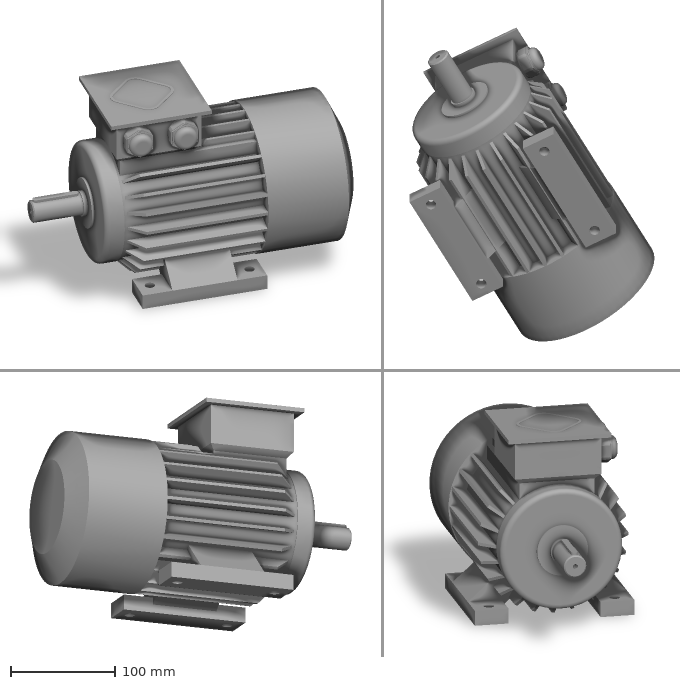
import cadquery as cq
import math


OVERALL_LENGTH = 310.0
SHOULDER_FRONT = 49.5
BOSS_FRONT = 53.5
FLANGE_FRONT = 56.0
FLANGE_BACK = 75.3
FIN_FRONT = 78.5
COWL_FRONT = 215.0
COWL_CONE_START = 296.0

BODY_RADIUS = 118.0 / 2
FLANGE_RADIUS = 120.0 / 2
FLANGE_FILLET = 5.0
BOSS_RADIUS = 50.0 / 2
COWL_RADIUS = 149.0 / 2
COWL_END_RADIUS = 45.5

SHOULDER_RADIUS = 25.0 / 2
SHAFT_RADIUS = 22.0 / 2
SHAFT_CHAMFER = 1.2
KEY_WIDTH = 6.2
KEY_TOP = 13.3
KEY_FRONT = 2.0
KEY_BACK = 48.0
CENTRE_HOLE_RADIUS = 5.0 / 2
CENTRE_HOLE_DEPTH = 3.7

FIN_RADIUS = 73.8
FIN_THICKNESS = 3.0
FIN_STEP = 15
FIRST_FIN_ANGLE = 135
LAST_FIN_ANGLE = 405
TOP_RIB_COUNT = 5
TOP_RIB_PITCH = 15.0
TOP_RIB_FRONT = 162.8
TOP_RIB_BEVEL_LENGTH = 4.3
TOP_RIB_BEVEL_DROP = 5.3

SADDLE_WIDTH = 73.8
SADDLE_TOP = 59.8
BOX_CENTRE_Y = 115.3
BOX_SIDE = 85.2
NECK_LENGTH = 75.0
NECK_TOP = 62.5
BOX_BOTTOM = 68.2
LID_SIDE = 101.0
LID_BOTTOM = 106.3
LID_TOP = 110.5

FRAME_CENTRE_Y = 112.0
FRAME_HALF_DIAGONAL = 36.5
FRAME_CORNER_RADIUS = 11.8
FRAME_WIDTH = 2.8
FRAME_HEIGHT = 0.5

GLAND_SPACING = 45.0
GLAND_Z = 88.0
GLAND_COLLAR_DIAMETER = 28.0
GLAND_COLLAR_LENGTH = 1.5
NUT_DIAMETER = 29.5
NUT_ACROSS_FLATS = 27.0
NUT_LENGTH = 8.5
NUT_RIM_LENGTH = 1.5
GLAND_RING_DIAMETER = 25.0
GLAND_RING_LENGTH = 1.0
GLAND_CAP_DIAMETER = 23.2
GLAND_CAP_LENGTH = 6.5
GLAND_CAP_FILLET = 5.0

FOOT_OUTER_X = 78.5
FOOT_WIDTH = 33.2
FOOT_BOTTOM = -80.0
FOOT_HEIGHT = 15.0
FOOT_LENGTH = 125.2
FOOT_CENTRE_Y = 150.0
LEG_LENGTH = 65.5
LEG_ANGLE = 41.5
LEG_INNER_DROP = 6.8
FOOT_HOLE_DIAMETER = 10.0
FOOT_HOLE_SPACING = 100.0


def block_between(x_range, y_range, z_range):
    """Rectangular block given by its limits along each axis."""
    limits = (x_range, y_range, z_range)
    sizes = [high - low for low, high in limits]
    corner = cq.Vector(*[low for low, high in limits])
    return cq.Workplane(cq.Solid.makeBox(*sizes, pnt=corner))


def disc(radius, front, back):
    """Solid cylinder on the shaft axis between two stations."""
    return cq.Workplane("XZ", origin=(0, front, 0)).circle(radius).extrude(front - back)


def make_body():
    flange = disc(FLANGE_RADIUS, FLANGE_FRONT, FLANGE_BACK).faces("<Y").edges().fillet(FLANGE_FILLET)
    cowl = (
        cq.Workplane("XY")
        .moveTo(0, COWL_FRONT)
        .lineTo(COWL_RADIUS, COWL_FRONT)
        .lineTo(COWL_RADIUS, COWL_CONE_START)
        .lineTo(COWL_END_RADIUS, OVERALL_LENGTH)
        .lineTo(0, OVERALL_LENGTH)
        .close()
        .revolve(360, (0, 0, 0), (0, 1, 0))
    )
    barrel = disc(BODY_RADIUS, FLANGE_BACK, COWL_FRONT)
    boss = disc(BOSS_RADIUS, BOSS_FRONT, FLANGE_FRONT)
    return barrel.union(cowl).union(flange).union(boss)


def make_shaft():
    shaft = disc(SHAFT_RADIUS, 0, SHOULDER_FRONT).faces("<Y").edges().chamfer(SHAFT_CHAMFER)
    shoulder = disc(SHOULDER_RADIUS, SHOULDER_FRONT, BOSS_FRONT)
    key = (
        cq.Workplane("XY", origin=(0, (KEY_FRONT + KEY_BACK) / 2, 0))
        .slot2D(KEY_BACK - KEY_FRONT, KEY_WIDTH, 90)
        .extrude(KEY_TOP)
    )
    return shaft.union(shoulder).union(key)


def make_centre_hole():
    """Blind hole in the shaft tip with a 90 degree conical bottom."""
    return (
        cq.Workplane("XY")
        .lineTo(CENTRE_HOLE_RADIUS, 0)
        .lineTo(CENTRE_HOLE_RADIUS, CENTRE_HOLE_DEPTH)
        .lineTo(0, CENTRE_HOLE_DEPTH + CENTRE_HOLE_RADIUS)
        .close()
        .revolve(360, (0, 0, 0), (0, 1, 0))
    )


def make_radial_fins():
    """Fins whose front ends slope at 45 degrees down to the body."""
    slope_back = FIN_FRONT + FIN_RADIUS - BODY_RADIUS
    root_radius = BODY_RADIUS - FIN_THICKNESS
    fin = (
        cq.Workplane("XY")
        .moveTo(root_radius, FIN_FRONT)
        .lineTo(BODY_RADIUS, FIN_FRONT)
        .lineTo(FIN_RADIUS, slope_back)
        .lineTo(FIN_RADIUS, COWL_FRONT)
        .lineTo(root_radius, COWL_FRONT)
        .close()
        .extrude(FIN_THICKNESS / 2, both=True)
    )
    fins = cq.Workplane("XY")
    for angle in range(FIRST_FIN_ANGLE, LAST_FIN_ANGLE + 1, FIN_STEP):
        fins = fins.union(fin.rotate((0, 0, 0), (0, 1, 0), -angle))
    return fins


def make_top_ribs():
    """Upright flat-topped ribs behind the terminal box, bevelled in front, just inside the fin circle."""
    root_z = BODY_RADIUS - FIN_THICKNESS
    ribs = cq.Workplane("XY")
    for index in range(TOP_RIB_COUNT):
        x = (index - (TOP_RIB_COUNT - 1) / 2) * TOP_RIB_PITCH
        outer_edge_x = abs(x) + FIN_THICKNESS / 2
        top_z = math.sqrt(FIN_RADIUS**2 - outer_edge_x**2)
        rib = (
            cq.Workplane("YZ", origin=(x, 0, 0))
            .moveTo(TOP_RIB_FRONT, root_z)
            .lineTo(TOP_RIB_FRONT, top_z - TOP_RIB_BEVEL_DROP)
            .lineTo(TOP_RIB_FRONT + TOP_RIB_BEVEL_LENGTH, top_z)
            .lineTo(COWL_FRONT, top_z)
            .lineTo(COWL_FRONT, root_z)
            .close()
            .extrude(FIN_THICKNESS / 2, both=True)
        )
        ribs = ribs.union(rib)
    return ribs


def make_terminal_box():
    half_saddle = SADDLE_WIDTH / 2
    neck_front = BOX_CENTRE_Y - NECK_LENGTH / 2
    neck_back = BOX_CENTRE_Y + NECK_LENGTH / 2
    saddle = block_between((-half_saddle, half_saddle), (neck_front, COWL_FRONT), (0, SADDLE_TOP))
    neck = block_between((-half_saddle, half_saddle), (neck_front, neck_back), (0, NECK_TOP))
    taper = (
        cq.Workplane("XY", origin=(0, BOX_CENTRE_Y, NECK_TOP))
        .rect(SADDLE_WIDTH, NECK_LENGTH)
        .workplane(offset=BOX_BOTTOM - NECK_TOP)
        .rect(BOX_SIDE, BOX_SIDE)
        .loft()
    )
    walls = (
        cq.Workplane("XY", origin=(0, BOX_CENTRE_Y, BOX_BOTTOM))
        .rect(BOX_SIDE, BOX_SIDE)
        .extrude(LID_BOTTOM - BOX_BOTTOM)
    )
    lid = (
        cq.Workplane("XY", origin=(0, BOX_CENTRE_Y, LID_BOTTOM))
        .rect(LID_SIDE, LID_SIDE)
        .extrude(LID_TOP - LID_BOTTOM)
    )
    return saddle.union(neck).union(taper).union(walls).union(lid)


def make_lid_frame():
    side = FRAME_HALF_DIAGONAL * math.sqrt(2)

    def diamond(inset):
        return (
            cq.Workplane("XY")
            .rect(side - 2 * inset, side - 2 * inset)
            .extrude(FRAME_HEIGHT)
            .edges("|Z")
            .fillet(FRAME_CORNER_RADIUS - inset)
        )

    frame = diamond(0).cut(diamond(FRAME_WIDTH))
    return frame.rotate((0, 0, 0), (0, 0, 1), 45).translate((0, FRAME_CENTRE_Y, LID_TOP))


def make_gland():
    """Cable gland along +X with its base at the origin: collar, hex nut, rim, ring and rounded cap."""

    def hexagon(circumscribed_diameter, length):
        prism = cq.Workplane("YZ").polygon(6, circumscribed_diameter).extrude(length)
        return prism.rotate((0, 0, 0), (1, 0, 0), 90)

    nut_start = GLAND_COLLAR_LENGTH
    rim_start = nut_start + NUT_LENGTH
    ring_start = rim_start + NUT_RIM_LENGTH
    cap_start = ring_start + GLAND_RING_LENGTH

    collar = cq.Workplane("YZ").circle(GLAND_COLLAR_DIAMETER / 2).extrude(GLAND_COLLAR_LENGTH)
    nut_blank = cq.Workplane("YZ").circle(NUT_DIAMETER / 2).extrude(NUT_LENGTH)
    nut = hexagon(NUT_ACROSS_FLATS / math.cos(math.pi / 6), NUT_LENGTH).intersect(nut_blank)
    rim = hexagon(NUT_DIAMETER, NUT_RIM_LENGTH)
    ring = cq.Workplane("YZ").circle(GLAND_RING_DIAMETER / 2).extrude(GLAND_RING_LENGTH)
    cap = (
        cq.Workplane("YZ")
        .circle(GLAND_CAP_DIAMETER / 2)
        .extrude(GLAND_CAP_LENGTH)
        .faces(">X")
        .edges()
        .fillet(GLAND_CAP_FILLET)
    )
    return (
        collar.union(nut.translate((nut_start, 0, 0)))
        .union(rim.translate((rim_start, 0, 0)))
        .union(ring.translate((ring_start, 0, 0)))
        .union(cap.translate((cap_start, 0, 0)))
    )


def make_foot():
    """Foot on the +X side: a drilled pad and a sloping leg that runs into the body."""
    pad_inner_x = FOOT_OUTER_X - FOOT_WIDTH
    pad_top = FOOT_BOTTOM + FOOT_HEIGHT
    pad_centre_x = FOOT_OUTER_X - FOOT_WIDTH / 2
    pad = (
        cq.Workplane("XY", origin=(pad_centre_x, FOOT_CENTRE_Y, FOOT_BOTTOM))
        .rect(FOOT_WIDTH, FOOT_LENGTH)
        .extrude(FOOT_HEIGHT)
        .faces(">Z")
        .workplane()
        .rarray(3, FOOT_HOLE_SPACING, 1, 2)
        .hole(FOOT_HOLE_DIAMETER)
    )

    leg_end_x = BODY_RADIUS / 4
    slope = math.tan(math.radians(LEG_ANGLE))
    inner_z = pad_top - LEG_INNER_DROP
    leg = (
        cq.Workplane("XZ", origin=(0, FOOT_CENTRE_Y, 0))
        .moveTo(FOOT_OUTER_X, pad_top)
        .lineTo(pad_inner_x, pad_top)
        .lineTo(pad_inner_x, inner_z)
        .lineTo(leg_end_x, inner_z + (pad_inner_x - leg_end_x) * slope)
        .lineTo(leg_end_x, pad_top + (FOOT_OUTER_X - leg_end_x) * slope)
        .close()
        .extrude(LEG_LENGTH / 2, both=True)
    )
    return pad.union(leg)


result = make_body().union(make_shaft()).union(make_radial_fins()).union(make_top_ribs())
result = result.union(make_terminal_box()).union(make_lid_frame())

for side in (-1, 1):
    gland_y = BOX_CENTRE_Y + side * GLAND_SPACING / 2
    result = result.union(make_gland().translate((BOX_SIDE / 2, gland_y, GLAND_Z)))

foot = make_foot()
result = result.union(foot).union(foot.mirror("YZ"))
result = result.cut(make_centre_hole())